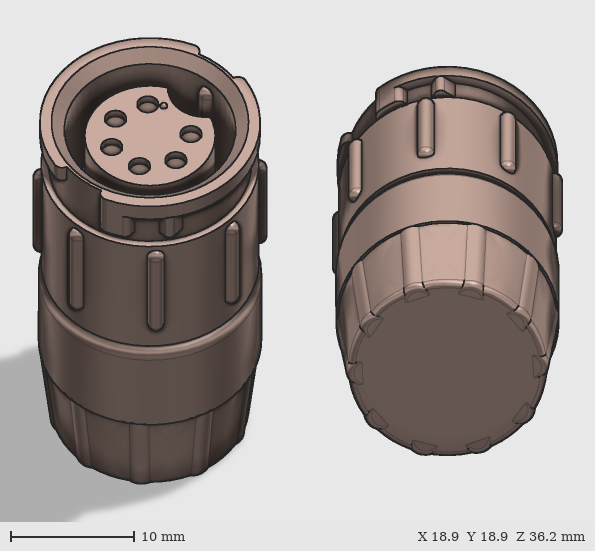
import cadquery as cq
import math

TOTAL_HEIGHT = 36.15
FLANGE_BOTTOM = 34.55
LUG_BOTTOM = 32.05
NECK_BOTTOM = 30.97
GRIP_RING_BOTTOM = 18.45
CAP_TOP = 17.75
CAP_BOTTOM = 8.82
TAPER_BOTTOM = 0.07

FLANGE_RADIUS = 8.93
NECK_RADIUS = 8.25
GRIP_RING_RADIUS = 8.82
GROOVE_RADIUS = 7.77
CAP_RADIUS = 9.05
CAP_FILLET = 0.8

TAPER_ANGLE = 5.7
TAPER_TOP_RADIUS = 8.85
TAPER_FILLET = 0.55
RIDGE_COUNT = 10
RIDGE_RADIUS = 1.55

RIB_COUNT = 8
RIB_OUTER_RADIUS = 9.47
RIB_RADIUS = 0.7
RIB_LOWER_CENTRE = 21.4
RIB_UPPER_CENTRE = 29.78

SOCKET_RADIUS = 6.95
SOCKET_DEPTH = 10.85
SOCKET_FLOOR = TOTAL_HEIGHT - SOCKET_DEPTH
SOCKET_MOUTH_RADIUS = 8.0
SOCKET_MOUTH_DEPTH = 0.9
KEY_TOP_CENTRE = 33.65

INSERT_RADIUS = 5.28
INSERT_TOP = 34.45
INSERT_NOTCH_RADIUS = 3.05
INSERT_NOTCH_CENTRE = 6.72
CONTACT_CIRCLE_RADIUS = 3.32
CONTACT_RADIUS = 0.85
CONTACT_DEPTH = 0.75
CONTACT_PITCH = 54.0
CONTACT_COUNT = 6
MARKER_RADIUS = 0.3
MARKER_X = -1.25
MARKER_Y = 3.07

CORNER_RADIUS = 0.72
SLOT_HALF_WIDTH = 1.85
LUG_END_X = 4.5
LUG_ROOT_Y = -5.42
STOP_LUG_ROOT_X = 5.42
STOP_LUG_END_X = 7.2
STOP_LUG_FACE_Y = -5.6
STOP_LUG_ROOT_Y = -2.9
STOP_LUG_CORNER_RADIUS = 0.55

OVERLAP = 0.35


def polar(radius, angle):
    """Point at a radius and an angle measured from -Y towards +X."""
    turn = math.radians(angle)
    return (radius * math.sin(turn), -radius * math.cos(turn))


def cylinder(radius, bottom, top):
    return cq.Workplane("XY").workplane(offset=bottom).circle(radius).extrude(top - bottom)


def block(x_range, y_range, z_range):
    """Box between two limits along each axis."""
    ranges = (x_range, y_range, z_range)
    sizes = [high - low for low, high in ranges]
    corner = tuple(low for low, high in ranges)
    return cq.Workplane("XY").box(*sizes, centered=False).translate(corner)


def turned_body():
    """Neck, grip ring, groove, cap and tapered cable end, without the raised details."""
    taper_height = CAP_BOTTOM - TAPER_BOTTOM
    taper_bottom_radius = TAPER_TOP_RADIUS - taper_height * math.tan(math.radians(TAPER_ANGLE))
    taper = (
        cq.Workplane("XZ")
        .moveTo(0, TAPER_BOTTOM)
        .lineTo(taper_bottom_radius, TAPER_BOTTOM)
        .lineTo(TAPER_TOP_RADIUS, CAP_BOTTOM)
        .lineTo(0, CAP_BOTTOM)
        .close()
        .revolve(360, (0, 0, 0), (0, 1, 0))
        .faces("<Z")
        .edges()
        .fillet(TAPER_FILLET)
    )
    cap = cylinder(CAP_RADIUS, CAP_BOTTOM, CAP_TOP).faces(">Z").edges().fillet(CAP_FILLET)
    groove = cylinder(GROOVE_RADIUS, CAP_TOP, GRIP_RING_BOTTOM)
    grip_ring = cylinder(GRIP_RING_RADIUS, GRIP_RING_BOTTOM, NECK_BOTTOM)
    neck = cylinder(NECK_RADIUS, NECK_BOTTOM, TOTAL_HEIGHT)
    return taper.union(cap).union(groove).union(grip_ring).union(neck)


def taper_ridges():
    """Leaning cylinders along the taper, with rounded lower ends that touch z = 0."""
    lean = math.radians(TAPER_ANGLE)
    end_height = (RIDGE_RADIUS - TAPER_FILLET) * math.sin(lean) + TAPER_FILLET * (1 - math.cos(lean))
    top_centre = CAP_RADIUS - RIDGE_RADIUS / math.cos(lean)
    end_centre = top_centre - (CAP_BOTTOM - end_height) * math.tan(lean)
    length = (CAP_BOTTOM - end_height) / math.cos(lean) + OVERLAP
    end_plane = cq.Plane(
        origin=(0, -end_centre, end_height),
        xDir=(1, 0, 0),
        normal=(0, -math.sin(lean), math.cos(lean)),
    )
    ridge = (
        cq.Workplane(end_plane)
        .circle(RIDGE_RADIUS)
        .extrude(length)
        .faces("<Z")
        .edges()
        .fillet(TAPER_FILLET)
        .intersect(cylinder(CAP_RADIUS, 0, CAP_BOTTOM))
    )
    ridges = cq.Workplane("XY")
    for index in range(RIDGE_COUNT):
        ridges = ridges.add(ridge.rotate((0, 0, 0), (0, 0, 1), index * 360 / RIDGE_COUNT))
    return ridges.combine()


def round_rib(distance, bottom, top):
    """Upright rib on the +Y side, with a ball at its upper end."""
    rib = cylinder(RIB_RADIUS, bottom, top).translate((0, distance, 0))
    ball = cq.Workplane("XY").sphere(RIB_RADIUS).translate((0, distance, top))
    return rib.union(ball)


def grip_ribs():
    distance = RIB_OUTER_RADIUS - RIB_RADIUS
    lower_ball = cq.Workplane("XY").sphere(RIB_RADIUS).translate((0, distance, RIB_LOWER_CENTRE))
    rib = round_rib(distance, RIB_LOWER_CENTRE, RIB_UPPER_CENTRE).union(lower_ball)
    ribs = cq.Workplane("XY")
    for index in range(RIB_COUNT):
        ribs = ribs.add(rib.rotate((0, 0, 0), (0, 0, 1), index * 360 / RIB_COUNT))
    return ribs.combine()


def round_cornered_slice(bottom, x_range, y_range):
    """Slice of the flange disc between two x and two y limits, from a height up to the top."""
    limits = block(x_range, y_range, (bottom, TOTAL_HEIGHT))
    disc = cylinder(FLANGE_RADIUS, bottom, TOTAL_HEIGHT)
    return disc.intersect(limits).edges("|Z").fillet(CORNER_RADIUS)


def stop_lug():
    """Square lug under the flange, with its outer corner rounded to stay inside the flange."""
    return (
        block(
            (STOP_LUG_ROOT_X, STOP_LUG_END_X),
            (STOP_LUG_FACE_Y, STOP_LUG_ROOT_Y),
            (LUG_BOTTOM, FLANGE_BOTTOM),
        )
        .edges("|Z and >X")
        .edges("<Y")
        .fillet(STOP_LUG_CORNER_RADIUS)
    )


def bayonet():
    """Two flange halves separated by slots at -Y and +Y, each with its two lugs."""
    reach = FLANGE_RADIUS + OVERLAP
    flange_half = round_cornered_slice(FLANGE_BOTTOM, (SLOT_HALF_WIDTH, reach), (-reach, reach))
    lug = round_cornered_slice(LUG_BOTTOM, (SLOT_HALF_WIDTH, LUG_END_X), (-reach, LUG_ROOT_Y))
    half = flange_half.union(lug).union(stop_lug())
    return half.union(half.rotate((0, 0, 0), (0, 0, 1), 180))


def socket():
    """Bore with a flared mouth."""
    return (
        cq.Workplane("XZ")
        .moveTo(0, SOCKET_FLOOR)
        .lineTo(SOCKET_RADIUS, SOCKET_FLOOR)
        .lineTo(SOCKET_RADIUS, TOTAL_HEIGHT - SOCKET_MOUTH_DEPTH)
        .lineTo(SOCKET_MOUTH_RADIUS, TOTAL_HEIGHT)
        .lineTo(0, TOTAL_HEIGHT)
        .close()
        .revolve(360, (0, 0, 0), (0, 1, 0))
    )


def contact_insert():
    """Notched round insert with contact holes and a small marker beside the first hole."""
    insert = cylinder(INSERT_RADIUS, SOCKET_FLOOR - OVERLAP, INSERT_TOP)
    notch = cylinder(INSERT_NOTCH_RADIUS, SOCKET_FLOOR, INSERT_TOP).translate((0, INSERT_NOTCH_CENTRE, 0))
    insert = insert.cut(notch)
    contact = cylinder(CONTACT_RADIUS, INSERT_TOP - CONTACT_DEPTH, INSERT_TOP)
    for index in range(CONTACT_COUNT):
        angle = (index - (CONTACT_COUNT - 1) / 2) * CONTACT_PITCH
        x, y = polar(CONTACT_CIRCLE_RADIUS, angle)
        insert = insert.cut(contact.translate((x, y, 0)))
    marker = cq.Workplane("XY").sphere(MARKER_RADIUS).translate((MARKER_X, MARKER_Y, INSERT_TOP))
    return insert.union(marker)


outside = turned_body().union(taper_ridges()).union(grip_ribs()).union(bayonet())
key_rib = round_rib(SOCKET_RADIUS, SOCKET_FLOOR - OVERLAP, KEY_TOP_CENTRE)
result = outside.cut(socket()).union(key_rib).union(contact_insert())